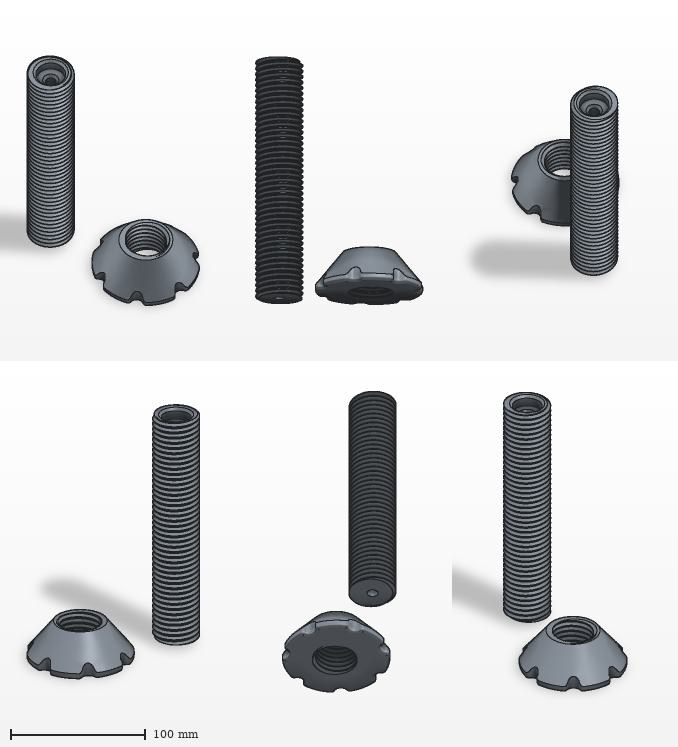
import cadquery as cq
import math

total_length = 134.0
total_height = 185.0

rod_length = 180.0
major_diameter = 35.0
root_diameter = 30.0
rod_turns = 42.5
crest_width = 0.5
flank_angle = 30.0
rod_crest_drop = 1.0
nut_crest_drop = 2.8
thread_clearance = 0.5
spare_turns = 3

bore_diameter = 8.0
pocket_diameter = 22.0
pocket_depth = 8.7
bore_chamfer = 2.0

nut_diameter = 80.0
nut_top_diameter = 40.0
nut_height = 30.0
rim_height = 5.0
base_fillet = 2.5
notch_count = 7
notch_radius = 5.0
notch_mouth_fillet = 2.8

pitch = rod_length / rod_turns
rod_bottom = total_height - rod_length
nut_x = total_length - (major_diameter + nut_diameter) / 2


def thread_profile(root_radius, crest_radius):
    """(radius, height) corners of one thread pitch: lower flank, crest, upper flank, root."""
    half_crest = crest_width / 2
    half_base = half_crest + (crest_radius - root_radius) * math.tan(math.radians(flank_angle))
    return [
        (root_radius, -half_base),
        (crest_radius, -half_crest),
        (crest_radius, half_crest),
        (root_radius, half_base),
        (root_radius, pitch - half_base),
    ]


def helix_turn(radius, start_z):
    """One turn of a right-handed helix that starts on the +X side."""
    return cq.Wire.makeHelix(pitch, pitch, radius, center=cq.Vector(0, 0, start_z)).Edges()[0]


def thread_turn(profile):
    """Helical faces that the sides of the profile sweep in one turn."""
    helices = [helix_turn(radius, z) for radius, z in profile]
    return [cq.Face.makeRuledSurface(low, high) for low, high in zip(helices, helices[1:])]


def thread_end(profile):
    """Helical ramp and upright step that together close one end of the thread."""
    root_radius, start_z = profile[0]
    axis_start = cq.Vector(0, 0, start_z)
    axis_end = cq.Vector(0, 0, start_z + pitch)
    axis_line = cq.Edge.makeLine(axis_start, axis_end)
    ramp = cq.Face.makeRuledSurface(axis_line, helix_turn(root_radius, start_z))
    outer_corners = [cq.Vector(radius, 0, z) for radius, z in profile]
    step_outline = cq.Wire.makePolygon([axis_start, *outer_corners, axis_end], close=True)
    return [ramp, cq.Face.makeFromWires(step_outline)]


def threaded_bar(root_radius, crest_radius, length, crest_drop):
    """Right-handed threaded bar that overruns both ends of the range Z = 0 to Z = length.

    On the -X side, one crest lies crest_drop below the upper end.
    """
    crest_z = length - crest_drop
    turns_below = math.ceil(crest_z / pitch) + spare_turns
    turns = turns_below + spare_turns
    profile = thread_profile(root_radius, crest_radius)
    turn = thread_turn(profile)
    lower_end = thread_end(profile)
    upper_end = [face.translate(cq.Vector(0, 0, turns * pitch)) for face in lower_end]
    side = [face.translate(cq.Vector(0, 0, i * pitch)) for i in range(turns) for face in turn]
    bar = cq.Solid.makeSolid(cq.Shell.makeShell(side + lower_end + upper_end))
    start_z = crest_z - turns_below * pitch
    return cq.Workplane(bar).rotate((0, 0, 0), (0, 0, 1), 180).translate((0, 0, start_z))


def rod_bore():
    """Through hole and bearing pocket, each with a 45 degree chamfered mouth."""
    bore_radius = bore_diameter / 2
    pocket_radius = pocket_diameter / 2
    floor_z = rod_length - pocket_depth
    return (
        cq.Workplane("XZ")
        .moveTo(0, 0)
        .lineTo(bore_radius, 0)
        .lineTo(bore_radius, floor_z - bore_chamfer)
        .lineTo(bore_radius + bore_chamfer, floor_z)
        .lineTo(pocket_radius, floor_z)
        .lineTo(pocket_radius, rod_length - bore_chamfer)
        .lineTo(pocket_radius + bore_chamfer, rod_length)
        .lineTo(0, rod_length)
        .close()
        .revolve(360, (0, 0), (0, 1))
    )


def make_rod():
    """Threaded rod, cut square at both ends by a wider blank that already holds the bore."""
    bar = threaded_bar(root_diameter / 2, major_diameter / 2, rod_length, rod_crest_drop)
    blank = cq.Workplane("XY").circle(major_diameter).extrude(rod_length).cut(rod_bore())
    return blank.intersect(bar).translate((0, 0, rod_bottom))


def notched_blank():
    """Upright cylinder with grip notches, rounded notch mouths and a rounded base edge."""
    notches = (
        cq.Workplane("XY")
        .polarArray(nut_diameter / 2, 180, 360, notch_count)
        .circle(notch_radius)
        .extrude(nut_height)
    )
    return (
        cq.Workplane("XY")
        .circle(nut_diameter / 2)
        .extrude(nut_height)
        .cut(notches)
        .edges("|Z")
        .fillet(notch_mouth_fillet)
        .faces("<Z")
        .edges()
        .fillet(base_fillet)
    )


def nut_envelope():
    """Cone standing on a short cylindrical rim."""
    return (
        cq.Workplane("XZ")
        .moveTo(0, 0)
        .lineTo(nut_diameter / 2, 0)
        .lineTo(nut_diameter / 2, rim_height)
        .lineTo(nut_top_diameter / 2, nut_height)
        .lineTo(0, nut_height)
        .close()
        .revolve(360, (0, 0), (0, 1))
    )


def make_nut():
    """Conical grip nut, threaded right through with some clearance to the rod."""
    tap = threaded_bar(
        (root_diameter + thread_clearance) / 2,
        (major_diameter + thread_clearance) / 2,
        nut_height,
        nut_crest_drop,
    )
    blank = notched_blank().intersect(nut_envelope())
    return blank.cut(tap).translate((nut_x, 0, 0))


rod = make_rod()
nut = make_nut()

result = cq.Compound.makeCompound([rod.solids().val(), nut.solids().val()])